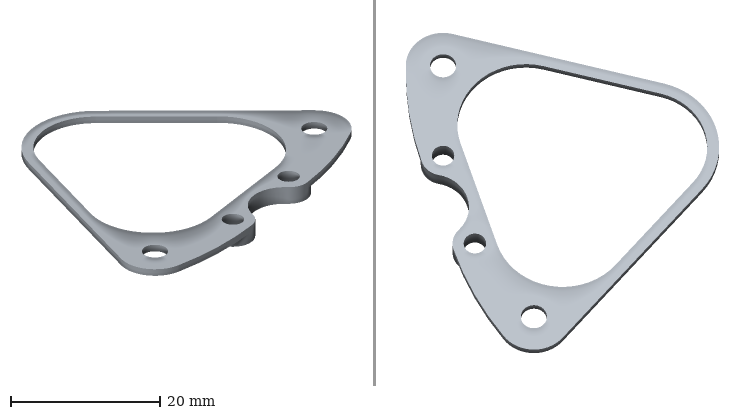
import cadquery as cq
import math

plate_thickness = 1.0
pad_depth = 1.55

nose_radius = 10.0
nose_center = (nose_radius, 0)
ear_radius = 5.0
ear_center = (32.0, 20.0)
ear_hole_diameter = 3.5
lug_radius = 3.0
lug_center = (36.15, 7.0)
lug_hole_diameter = 3.0
notch_depth_x = 35.0

rim_width = 1.6
window_back_x = 33.35
window_corner_radius = 9.2

pad_corner_radius = 2.65


def polar(center, radius, angle):
    """Point on a circle at an angle in radians."""
    return (center[0] + radius * math.cos(angle), center[1] + radius * math.sin(angle))


def direction(start, end):
    """Angle of the line from start to end."""
    return math.atan2(end[1] - start[1], end[0] - start[0])


def add_arc(path, center, radius, start_angle, end_angle):
    """Continue a path, already at the start angle, along a circle."""
    middle = polar(center, radius, (start_angle + end_angle) / 2)
    return path.threePointArc(middle, polar(center, radius, end_angle))


center_distance = math.dist(nose_center, ear_center)
side_angle = direction(nose_center, ear_center) - math.asin((nose_radius - ear_radius) / center_distance)
side_normal = side_angle + math.pi / 2

back_x = lug_center[0] + lug_radius
ear_rise = ear_center[1] - lug_center[1]
ear_inset = back_x - ear_radius - ear_center[0]
back_radius = ear_radius + (ear_rise**2 + ear_inset**2) / (2 * ear_inset)
back_center = (back_x - back_radius, lug_center[1])
back_angle = direction(back_center, ear_center)

lug_inset = lug_center[0] - notch_depth_x
notch_radius = (lug_inset**2 + lug_center[1] ** 2 - lug_radius**2) / (2 * (lug_radius + lug_inset))
notch_center = (notch_depth_x + notch_radius, 0)
notch_angle = direction(notch_center, lug_center)


def add_lug_and_notch(path):
    """Continue from the widest point of the lug to the bottom of the notch."""
    path = add_arc(path, lug_center, lug_radius, 0, notch_angle - math.pi)
    return add_arc(path, notch_center, notch_radius, notch_angle, math.pi)


def half_plate():
    path = cq.Workplane("XY").moveTo(0, 0)
    path = add_arc(path, nose_center, nose_radius, math.pi, side_normal)
    path = path.lineTo(*polar(ear_center, ear_radius, side_normal))
    path = add_arc(path, ear_center, ear_radius, side_normal, back_angle)
    path = add_arc(path, back_center, back_radius, back_angle, 0)
    return add_lug_and_notch(path).close().extrude(plate_thickness)


def half_window():
    """Window with sides parallel to the outer sides."""
    inner_nose_radius = nose_radius - rim_width
    corner_x = window_back_x - window_corner_radius
    side_offset = inner_nose_radius - window_corner_radius
    corner_y = (
        side_offset - (corner_x - nose_center[0]) * math.cos(side_normal)
    ) / math.sin(side_normal)
    corner_center = (corner_x, corner_y)

    path = cq.Workplane("XY").moveTo(rim_width, 0)
    path = add_arc(path, nose_center, inner_nose_radius, math.pi, side_normal)
    path = path.lineTo(*polar(corner_center, window_corner_radius, side_normal))
    path = add_arc(path, corner_center, window_corner_radius, side_normal, 0)
    return path.lineTo(window_back_x, 0).close().extrude(plate_thickness)


def half_pad():
    """Pad below the plate, following the lug, the notch and the window's back edge."""
    corner_x = window_back_x + pad_corner_radius
    corner_rise = math.sqrt((lug_radius - pad_corner_radius) ** 2 - (lug_center[0] - corner_x) ** 2)
    corner_center = (corner_x, lug_center[1] + corner_rise)
    blend_angle = direction(lug_center, corner_center)

    path = cq.Workplane("XY").moveTo(window_back_x, 0).lineTo(window_back_x, corner_center[1])
    path = add_arc(path, corner_center, pad_corner_radius, math.pi, blend_angle)
    path = add_arc(path, lug_center, lug_radius, blend_angle, 0)
    return add_lug_and_notch(path).close().extrude(-pad_depth)


def through_hole(center, diameter):
    height = plate_thickness + pad_depth
    return cq.Workplane("XY").workplane(offset=-pad_depth).center(*center).circle(diameter / 2).extrude(height)


half = half_plate().cut(half_window()).union(half_pad())
for center, diameter in ((ear_center, ear_hole_diameter), (lug_center, lug_hole_diameter)):
    half = half.cut(through_hole(center, diameter))

result = half.union(half.mirror("XZ")).clean()